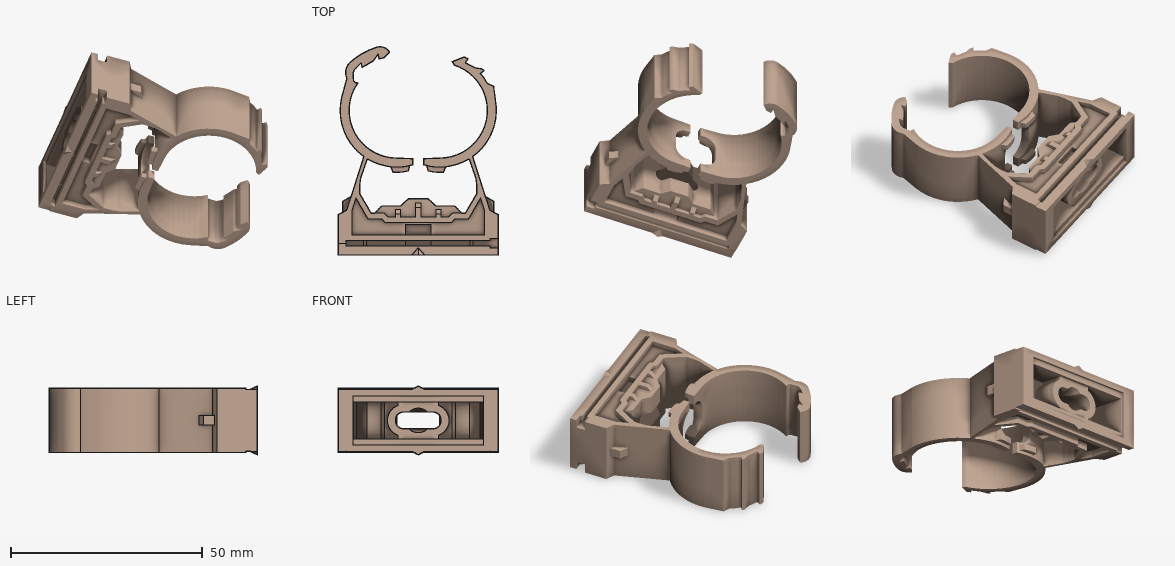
import cadquery as cq
import math

BODY_HEIGHT = 16.85
HALF_HEIGHT = BODY_HEIGHT / 2
BASE_HALF_WIDTH = 41.8 / 2
FRONT_HALF_HEIGHT = 8.1
FRONT_STEP_Y = 3.05
TOTAL_HEIGHT = 18.0

RING_X = 5.6
RING_Y = 37.7
INNER_RADIUS = 12.4
OUTER_RADIUS = 14.8
JAW_GAP = 2.75
JAW_END_Y = 25.15
ACCESS_OPENING = (11.2, 10.85)
ACCESS_CORNER_RADIUS = 3.55
ACCESS_FRONT_Y = 19.55

GROOVE_Y = (2.45, 3.8)
GROOVE_END_X = -18.85
GROOVE_FLOOR_Z = 5.7
GROOVE_MOUTH_Y = (1.85, 4.35)
GROOVE_MOUTH_X = 18.65
GROOVE_RIB_X = 13.85
GROOVE_RIB = (0.75, 0.25)

POCKET_BOTTOM_Y = 5.3
POCKET_FLOOR_Z = 6.6
NUT_WINDOW_HALF_WIDTH = 3.3
NUT_WINDOW_TOP_Y = 7.95
NUT_WINDOW_FLOOR_Z = 3.25
CAVITY_INSET = 0.45
CAVITY_HALF_HEIGHT = 4.85
FRAME_OPENING = (34.15, 0.7, 12.85)

BOSS_FRONT_Y = 1.65
BOSS_BACK_Y = 8.95
BOSS_LENGTH = 16.1
BOSS_WIDTH = 8.25
BOSS_BLOCK_WIDTH = 10.45
SLOT_LENGTH = 11.95
SLOT_WIDTH = 4.3
SLOT_END_Y = 16.3
COUNTERSINK_RADIUS = 3.2
COUNTERSINK_DEPTH = 4.35

PLATFORM_HALF_HEIGHT = 7.3
FINGER_WIDTH = 1.35
FINGER_ROOT_Y = 9.8
FINGER_RAMP = 1.2
SIDE_FINGER_X = 5.3
SIDE_FINGER_Y = 10.75
CENTRE_FINGER_Y = 12.45

STOP_Z = (6.1, 7.65)
EAR_HALF_HEIGHT = 1.25
POINTER_HALF_WIDTH = 1.7
POINTER_LENGTH = 1.9

BODY_OUTLINE = [
    (-BASE_HALF_WIDTH, 0), (-BASE_HALF_WIDTH, 10.55), (-18.65, 11.75),
    (-13.8, 26.95), (-12.9, 26.2),
    (-15.0, 20.05), (-15.2, 18.4), (-15.2, 16.0),
    (-12.3, 11.0), (-8.9, 11.0), (-7.95, 10.0),
]
PLATFORM_OUTLINE = [(-11.3, 9.5), (-11.3, 11.0), (-9.5, 12.85), (-4.6, 12.85), (-2.55, 14.75)]
POCKET_ROOF = [(-17.3, 11.6), (-16.25, 14.9), (-13.1, 9.4), (-9.5, 9.4), (-8.65, 8.5)]
STOP_ROOT = [(-2.05, 23.9), (-7.25, 23.65), (-7.25, 23.1)]
STOP_TIP = [(-6.6, 21.6), (-4.8, 21.6), (-2.55, 21.95)]
EAR_OUTLINE = [(-18.2, 11.25), (-19.75, 11.25), (-19.75, 14.0), (-17.5, 15.3), (-16.85, 13.05)]

LEFT_TANGENT_Y = 41.0
LEFT_NECK = (-18.65, 46.1)
LEFT_ARCS = [
    ((-18.8, 48.6), (-17.5, 50.5)),
    ((-14.35, 52.75), (-11.25, 54.1)),
    ((-9.95, 54.35), (-7.45, 52.95)),
]
LEFT_TEETH = [
    (-8.85, 51.5), (-10.3, 51.1), (-10.45, 52.4), (-11.7, 50.65), (-14.7, 48.85), (-14.9, 50.1),
    (-16.6, 48.45), (-16.95, 47.5), (-16.85, 45.45), (-16.4, 45.0), (-15.7, 44.9),
]
LEFT_INNER_Y = 43.25

RIGHT_TANGENT_Y = 38.85
RIGHT_TEETH = [
    (19.7, 44.05), (18.05, 44.8), (17.0, 46.4), (16.2, 47.35), (17.2, 48.1), (16.6, 48.6),
    (14.8, 48.85), (12.3, 50.2), (13.0, 51.2), (11.95, 51.7), (8.85, 50.45),
]
RIGHT_INNER_Y = 49.5


def with_mirror(left_half):
    return left_half + [(-x, y) for x, y in reversed(left_half)]


def prism(points, half_height):
    """Plate with the given XY outline, centred on Z = 0."""
    return cq.Workplane("XY").polyline(points).close().extrude(half_height, both=True)


def block(x_range, y_range, z_range):
    size = [high - low for low, high in (x_range, y_range, z_range)]
    corner = (x_range[0], y_range[0], z_range[0])
    return cq.Workplane("XY").box(*size, centered=False).translate(corner)


def both_faces(feature):
    return feature.union(feature.mirror("XY"))


def both_sides(feature):
    return feature.union(feature.mirror("YZ"))


def arc_point(radius, y):
    """Outermost point at height y on the left jaw's arc."""
    return (-RING_X - math.sqrt(radius ** 2 - (y - RING_Y) ** 2), y)


def jaw(inner_top, tip_edges, outer_top):
    """Left-side jaw running from inner_top round the bore, along the outside and over the tip."""
    end_x = -JAW_GAP / 2
    outer_end = (end_x, RING_Y - math.sqrt(OUTER_RADIUS ** 2 - (end_x + RING_X) ** 2))
    bore_side = (-RING_X - INNER_RADIUS, RING_Y)
    bore_bottom = (-RING_X, RING_Y - INNER_RADIUS)
    diagonal = OUTER_RADIUS * math.sqrt(0.5)
    outer_middle = (-RING_X - diagonal, RING_Y - diagonal)
    outline = (
        cq.Workplane("XY").moveTo(*inner_top)
        .threePointArc(bore_side, bore_bottom)
        .lineTo(end_x, JAW_END_Y)
        .lineTo(*outer_end)
        .threePointArc(outer_middle, outer_top)
    )
    return tip_edges(outline).close().extrude(HALF_HEIGHT, both=True)


def left_tip(outline):
    outline = outline.lineTo(*LEFT_NECK)
    for middle, end in LEFT_ARCS:
        outline = outline.threePointArc(middle, end)
    for point in LEFT_TEETH:
        outline = outline.lineTo(*point)
    return outline


def right_tip(outline):
    for x, y in RIGHT_TEETH:
        outline = outline.lineTo(-x, y)
    return outline


def stops():
    low_z, high_z = STOP_Z
    tip_start, tip_middle, tip_end = STOP_TIP
    stop = (
        cq.Workplane("XY", origin=(0, 0, low_z)).polyline(STOP_ROOT)
        .lineTo(*tip_start)
        .threePointArc(tip_middle, tip_end)
        .close().extrude(high_z - low_z)
    )
    return both_faces(both_sides(stop))


def jaws():
    left = jaw(arc_point(INNER_RADIUS, LEFT_INNER_Y), left_tip, arc_point(OUTER_RADIUS, LEFT_TANGENT_Y))
    right = jaw(arc_point(INNER_RADIUS, RIGHT_INNER_Y), right_tip, arc_point(OUTER_RADIUS, RIGHT_TANGENT_Y))
    right = right.mirror("YZ")
    access = cq.Workplane("XZ", origin=(0, RING_Y, 0)).rect(*ACCESS_OPENING)
    access = access.extrude(RING_Y - ACCESS_FRONT_Y).edges("|Y").fillet(ACCESS_CORNER_RADIUS)
    return left.union(right).cut(access).union(stops())


def finger(x, ramp_y):
    tip_y = ramp_y + FINGER_RAMP
    side = [(FINGER_ROOT_Y, 0), (FINGER_ROOT_Y, HALF_HEIGHT), (ramp_y, HALF_HEIGHT),
            (tip_y, PLATFORM_HALF_HEIGHT), (tip_y, 0)]
    shape = cq.Workplane("YZ").polyline(side).close().extrude(FINGER_WIDTH / 2, both=True)
    return both_faces(shape.translate((x, 0, 0)))


def pocket_outline(bottom_y):
    return with_mirror([(POCKET_ROOF[0][0], bottom_y)] + POCKET_ROOF)


def pocket():
    plan = pocket_outline(POCKET_BOTTOM_Y)
    recess = prism(plan, HALF_HEIGHT).cut(prism(plan, POCKET_FLOOR_Z))
    half = NUT_WINDOW_HALF_WIDTH
    window_y = (POCKET_BOTTOM_Y, NUT_WINDOW_TOP_Y)
    return recess.union(both_faces(block((-half, half), window_y, (NUT_WINDOW_FLOOR_Z, HALF_HEIGHT))))


def groove():
    depth = (GROOVE_FLOOR_Z, HALF_HEIGHT)
    shape = block((GROOVE_END_X, BASE_HALF_WIDTH), GROOVE_Y, depth)
    rib_width, rib_height = GROOVE_RIB
    for x in (-GROOVE_RIB_X, GROOVE_RIB_X):
        rib_x = (x - rib_width / 2, x + rib_width / 2)
        shape = shape.cut(block(rib_x, GROOVE_Y, (GROOVE_FLOOR_Z, GROOVE_FLOOR_Z + rib_height)))
    half = NUT_WINDOW_HALF_WIDTH
    shape = shape.union(block((-half, half), GROOVE_Y, (NUT_WINDOW_FLOOR_Z, HALF_HEIGHT)))
    shape = shape.union(block((GROOVE_MOUTH_X, BASE_HALF_WIDTH), GROOVE_MOUTH_Y, depth))
    return both_faces(shape)


def cavity():
    outline = cq.Workplane("XY").polyline(pocket_outline(-CAVITY_INSET)).close()
    plan = outline.offset2D(-CAVITY_INSET, kind="intersection")
    opening = cq.Workplane("XY").box(*FRAME_OPENING, centered=(True, False, True))
    return plan.extrude(CAVITY_HALF_HEIGHT, both=True).union(opening)


def boss():
    front = cq.Workplane("XZ", origin=(0, BOSS_FRONT_Y, 0))
    depth = BOSS_BACK_Y - BOSS_FRONT_Y
    oval = front.slot2D(BOSS_LENGTH, BOSS_WIDTH).extrude(-depth)
    return oval.union(front.rect(BOSS_BLOCK_WIDTH, 2 * CAVITY_HALF_HEIGHT).extrude(-depth))


def screw_slot():
    slot = cq.Workplane("XZ").slot2D(SLOT_LENGTH, SLOT_WIDTH).extrude(-SLOT_END_Y)
    cone = cq.Solid.makeCone(
        COUNTERSINK_RADIUS, SLOT_WIDTH / 2, COUNTERSINK_DEPTH,
        pnt=cq.Vector(0, BOSS_FRONT_Y, 0), dir=cq.Vector(0, 1, 0),
    )
    return slot.union(cq.Workplane(obj=cone))


def front_steps():
    x_range = (-BASE_HALF_WIDTH, BASE_HALF_WIDTH)
    return both_faces(block(x_range, (0, FRONT_STEP_Y), (FRONT_HALF_HEIGHT, HALF_HEIGHT)))


def pointers():
    """Small pyramids that mark the centre on the upper and lower edges of the front face."""
    z = FRONT_HALF_HEIGHT
    left = (-POINTER_HALF_WIDTH, 0, z)
    right = (POINTER_HALF_WIDTH, 0, z)
    back = (0, POINTER_LENGTH, z)
    peak = (0, 0, TOTAL_HEIGHT / 2)
    triangles = [(left, back, right), (left, right, peak), (right, back, peak), (back, left, peak)]
    faces = [
        cq.Face.makeFromWires(cq.Wire.makePolygon([cq.Vector(*p) for p in corners], close=True))
        for corners in triangles
    ]
    solid = cq.Solid.makeSolid(cq.Shell.makeShell(faces))
    return both_faces(cq.Workplane(obj=solid))


body = prism(with_mirror(BODY_OUTLINE), HALF_HEIGHT)
body = body.union(prism(with_mirror(PLATFORM_OUTLINE), PLATFORM_HALF_HEIGHT))
body = body.union(finger(0, CENTRE_FINGER_Y))
body = body.union(both_sides(finger(-SIDE_FINGER_X, SIDE_FINGER_Y)))
body = body.union(both_sides(prism(EAR_OUTLINE, EAR_HALF_HEIGHT)))
body = body.cut(pocket()).cut(groove()).cut(front_steps()).cut(cavity())
body = body.union(boss()).cut(screw_slot())
result = body.union(jaws()).union(pointers())